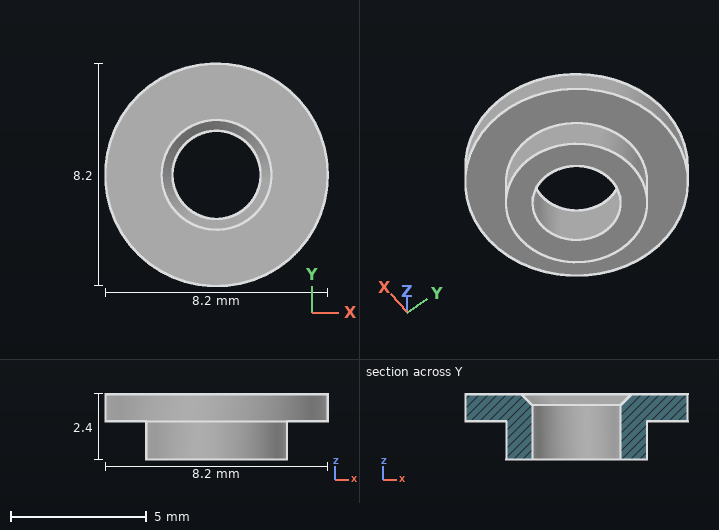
import cadquery as cq

flange_diameter = 8.2
flange_thickness = 1.0
sleeve_diameter = 5.2
total_height = 2.4
bore_diameter = 3.24
bore_chamfer = 0.4

sleeve_length = total_height - flange_thickness


def make_body():
    """Sleeve with the wider flange on top."""
    sleeve = cq.Workplane("XY").circle(sleeve_diameter / 2).extrude(sleeve_length)
    return sleeve.faces(">Z").workplane().circle(flange_diameter / 2).extrude(flange_thickness)


def cut_bore(body):
    """Through bore with a 45 degree lead-in at the flange face."""
    bored = body.faces(">Z").workplane().hole(bore_diameter)
    bore_rim = bored.faces(">Z").edges(cq.selectors.RadiusNthSelector(0))
    return bore_rim.chamfer(bore_chamfer)


result = cut_bore(make_body())